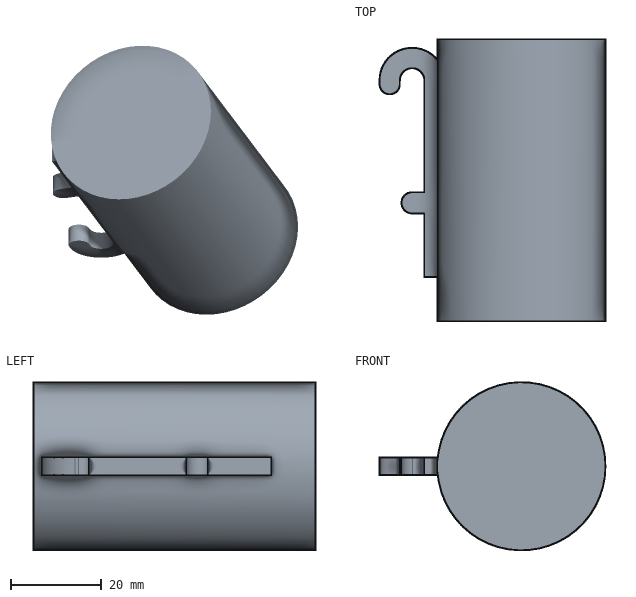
import cadquery as cq

body_diameter = 37.0
body_length = 62.0

clip_thickness = 3.9
clip_reach = 12.7
hook_outer_radius = 7.2
hook_inner_radius = 2.65
hook_center_y = 21.95
hook_tip_straight = 0.8
stem_end_y = -21.25

peg_width = 4.7
peg_center_y = -4.95

hook_center_x = -body_diameter / 2 - clip_reach + hook_outer_radius
band_width = hook_outer_radius - hook_inner_radius
hook_left_x = hook_center_x - hook_outer_radius
throat_left_x = hook_center_x - hook_inner_radius
stem_left_x = hook_center_x + hook_inner_radius
stem_right_x = hook_center_x + hook_outer_radius
tip_y = hook_center_y - hook_tip_straight


def make_body():
    return cq.Workplane("XZ").circle(body_diameter / 2).extrude(body_length / 2, both=True)


def make_hook():
    """Stem with its upper end bent back through a half turn to a rounded tip."""
    return (
        cq.Workplane("XY")
        .moveTo(stem_right_x, stem_end_y)
        .lineTo(stem_right_x, hook_center_y)
        .threePointArc((hook_center_x, hook_center_y + hook_outer_radius), (hook_left_x, hook_center_y))
        .lineTo(hook_left_x, tip_y)
        .threePointArc((hook_left_x + band_width / 2, tip_y - band_width / 2), (throat_left_x, tip_y))
        .lineTo(throat_left_x, hook_center_y)
        .threePointArc((hook_center_x, hook_center_y + hook_inner_radius), (stem_left_x, hook_center_y))
        .lineTo(stem_left_x, stem_end_y)
        .close()
        .extrude(clip_thickness / 2, both=True)
    )


def make_peg():
    """Peg running from inside the stem to a half-round end."""
    half_width = peg_width / 2
    return (
        cq.Workplane("XY")
        .moveTo(stem_right_x, peg_center_y + half_width)
        .lineTo(hook_center_x, peg_center_y + half_width)
        .threePointArc(
            (hook_center_x - half_width, peg_center_y),
            (hook_center_x, peg_center_y - half_width),
        )
        .lineTo(stem_right_x, peg_center_y - half_width)
        .close()
        .extrude(clip_thickness / 2, both=True)
    )


result = make_body().union(make_hook()).union(make_peg())